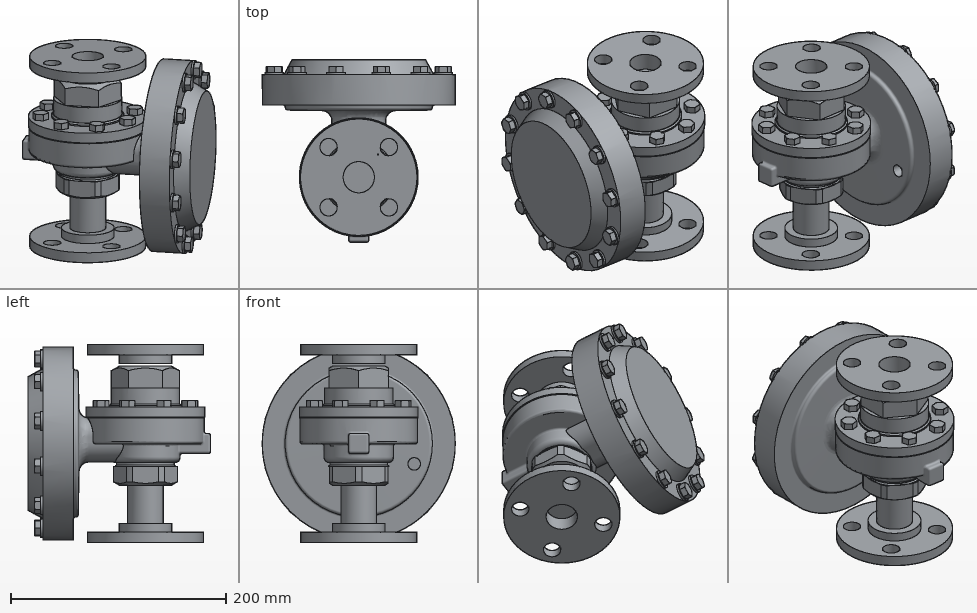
import cadquery as cq
import math


overall_width = 179.32
overall_depth = 169.51
overall_height = 184.15

flange_face_z = overall_height / 2
flange_radius = 54.0
flange_thickness = 9.75
flange_hub_radius = 24.5
flange_hub_length = 8.1
flange_bore_radius = 14.5
flange_bore_depth = 16.3
flange_hole_radius = 8.0
flange_hole_circle = 39.6
flange_hole_count = 4
flange_first_hole_angle = 45
flange_inner_z = flange_face_z - flange_thickness - flange_hub_length

upper_nut_flat_width = 55.0
upper_nut_top_z = 72.1
upper_nut_bottom_z = 51.6
upper_nut_top_radius = 24.0
nut_chamfer_slope = math.tan(math.radians(30))
collar_radius = 31.75
collar_ring_radius = 33.7
collar_ring_top_z = 36.7
collar_ring_chamfer = 1.4

bonnet_radius = 55.2
bonnet_top_z = 34.0
bonnet_bottom_z = 24.5
gasket_radius = 54.95
bowl_radius = 54.65
bowl_top_z = 23.7
bowl_bottom_z = -0.4
bowl_fillet = 2.5
bowl_root_fillet = 2.0
lower_collar_radius = 32.2
lower_collar_bottom_z = -17.7
lower_collar_fillet = 4.9

neck_radius = 26.9
neck_foot_radius = 28.3
neck_waist_z = -20.0
lower_nut_flat_width = 54.4
lower_nut_corner_radius = 29.8
lower_nut_top_z = -21.2
lower_nut_bottom_z = -38.75
lower_nut_end_radius = 24.2
pipe_radius = 16.7

bolt_flat_width = 13.0
bolt_bevel = 0.5
bonnet_bolt_count = 8
bonnet_bolt_circle = 44.5
bonnet_bolt_height = 6.0
cover_bolt_count = 12
cover_bolt_circle = 81.2
cover_bolt_height = 5.6
washer_radius = 8.7
washer_thickness = 1.9

lug_width = 18.8
lug_end_y = -60.45
lug_edge_fillet = 2.2
lug_root_fillet = 2.0
lug_root_depth = 3.0
selection_margin = 0.5

cover_radius = overall_width / 2
cover_front_y = 66.9
cover_back_y = 95.3
dome_back_y = lug_end_y + overall_depth
dome_root_radius = 69.6
dome_end_radius = 62.1
pad_radius = 68.4
pad_front_y = 62.2
pad_root_fillet = 1.9
pad_edge_fillet = 2.7
pad_crown = 1.0
drain_radius = 5.8
drain_depth = 10.0
drain_x = 51.5
drain_z = -18.9

arm_width = 50.2
arm_height = 41.0
arm_corner_radius = 17.4
arm_center_z = 3.3
arm_flare_radius = 9.0


def cylinder(radius, bottom_z, top_z):
    return cq.Workplane("XY").workplane(offset=bottom_z).circle(radius).extrude(top_z - bottom_z)


def hex_prism(flat_width, height):
    """Hexagon standing on Z = 0 with two corners on the X axis."""
    corner_diameter = flat_width / math.cos(math.radians(30))
    return cq.Workplane("XY").polygon(6, corner_diameter).extrude(height)


def chamfer_cone(end_radius, height):
    """Cone on Z = 0 that bevels the corners at the upper end of a nut."""
    base_radius = end_radius + height / nut_chamfer_slope
    return (
        cq.Workplane("XZ")
        .polyline([(0, 0), (base_radius, 0), (end_radius, height), (0, height)])
        .close()
        .revolve(360, (0, 0, 0), (0, 1, 0))
    )


def make_flange():
    """Top pipe flange with its hub pointing down and a blind bore."""
    disc = cylinder(flange_radius, flange_face_z - flange_thickness, flange_face_z)
    hub = cylinder(flange_hub_radius, flange_inner_z, flange_face_z)
    bore = cylinder(flange_bore_radius, flange_face_z - flange_bore_depth, flange_face_z)
    holes = (
        cq.Workplane("XY")
        .workplane(offset=flange_inner_z)
        .polarArray(flange_hole_circle, flange_first_hole_angle, 360, flange_hole_count)
        .circle(flange_hole_radius)
        .extrude(flange_face_z - flange_inner_z)
    )
    return disc.union(hub).cut(bore).cut(holes)


def make_upper_nut():
    height = upper_nut_top_z - upper_nut_bottom_z
    nut = hex_prism(upper_nut_flat_width, height).rotate((0, 0, 0), (0, 0, 1), 90)
    nut = nut.intersect(chamfer_cone(upper_nut_top_radius, height))
    return nut.translate((0, 0, upper_nut_bottom_z))


def make_lower_nut():
    height = lower_nut_top_z - lower_nut_bottom_z
    nut = hex_prism(lower_nut_flat_width, height).rotate((0, 0, 0), (0, 0, 1), 90)
    nut = nut.intersect(cylinder(lower_nut_corner_radius, 0, height))
    nut = nut.intersect(chamfer_cone(lower_nut_end_radius, height))
    nut = nut.rotate((0, 0, 0), (1, 0, 0), 180)
    return nut.translate((0, 0, lower_nut_top_z))


def make_lug():
    lug = cq.Workplane("XY").box(lug_width, -lug_end_y, lug_width).translate((0, lug_end_y / 2, 0))
    return lug.edges("|Y").fillet(lug_edge_fillet).faces("<Y").edges().fillet(lug_edge_fillet)


def make_bowl():
    """Bowl, lower collar and neck, turned from one profile, with the lug on the front."""
    bowl_fillet_end = (bowl_radius - bowl_fillet, bowl_bottom_z)
    root_start = (lower_collar_radius + bowl_root_fillet, bowl_bottom_z)
    root_end = (lower_collar_radius, bowl_bottom_z - bowl_root_fillet)
    collar_fillet_end = (lower_collar_radius - lower_collar_fillet, lower_collar_bottom_z)
    bowl = (
        cq.Workplane("XZ")
        .moveTo(0, bonnet_bottom_z)
        .lineTo(gasket_radius, bonnet_bottom_z)
        .lineTo(gasket_radius, bowl_top_z)
        .lineTo(bowl_radius, bowl_top_z)
        .lineTo(bowl_radius, bowl_bottom_z + bowl_fillet)
        .radiusArc(bowl_fillet_end, bowl_fillet)
        .lineTo(*root_start)
        .radiusArc(root_end, -bowl_root_fillet)
        .lineTo(lower_collar_radius, lower_collar_bottom_z + lower_collar_fillet)
        .radiusArc(collar_fillet_end, lower_collar_fillet)
        .lineTo(neck_radius, lower_collar_bottom_z)
        .lineTo(neck_radius, neck_waist_z)
        .lineTo(neck_foot_radius, lower_nut_top_z)
        .lineTo(0, lower_nut_top_z)
        .close()
        .revolve(360, (0, 0, 0), (0, 1, 0))
    )
    bowl = bowl.union(make_lug())
    half_window = lug_width / 2 + selection_margin
    root = cq.selectors.BoxSelector(
        (-half_window, -bowl_radius - selection_margin, -half_window),
        (half_window, -lower_collar_radius + lug_root_depth, half_window),
        boundingbox=True,
    )
    return bowl.edges(root).fillet(lug_root_fillet)


def make_bolt_head(height):
    """Hexagon bolt head on Z = 0 with the corners of its top bevelled."""
    corner_radius = bolt_flat_width / 2 / math.cos(math.radians(30))
    envelope = cylinder(corner_radius, 0, height).faces(">Z").edges().chamfer(bolt_bevel)
    return hex_prism(bolt_flat_width, height).intersect(envelope)


def add_bolts(part, bolt, axis, circle_radius, count):
    """Union a ring of bolts about an axis normal to X.

    The first bolt stands half a pitch from X with two corners parallel to X;
    the others are turned copies of it.
    """
    pitch = 360 / count
    first = bolt.rotate((0, 0, 0), axis, -pitch / 2)
    first = first.translate((circle_radius, 0, 0)).rotate((0, 0, 0), axis, pitch / 2)
    for index in range(count):
        part = part.union(first.rotate((0, 0, 0), axis, index * pitch))
    return part


def make_bonnet():
    bonnet = cylinder(bonnet_radius, bonnet_bottom_z, bonnet_top_z)
    ring = cylinder(collar_ring_radius, bonnet_bottom_z, collar_ring_top_z)
    ring = ring.faces(">Z").edges().chamfer(collar_ring_chamfer)
    collar = cylinder(collar_radius, bonnet_bottom_z, upper_nut_bottom_z)
    bonnet = bonnet.union(ring).union(collar)
    bolt = make_bolt_head(bonnet_bolt_height).translate((0, 0, bonnet_top_z))
    return add_bolts(bonnet, bolt, (0, 0, 1), bonnet_bolt_circle, bonnet_bolt_count)


def make_cover_bolt():
    """Bolt head and washer on the back of the cover, standing along +Y on the Y axis."""
    washer = cylinder(washer_radius, 0, washer_thickness)
    bolt = washer.union(make_bolt_head(washer_thickness + cover_bolt_height))
    return bolt.rotate((0, 0, 0), (1, 0, 0), -90).translate((0, cover_back_y, 0))


def make_actuator():
    crown_y = pad_front_y - pad_crown
    pad_round_start = (pad_radius, pad_front_y + pad_edge_fillet)
    cover = (
        cq.Workplane("XY")
        .moveTo(0, crown_y)
        .lineTo(pad_radius - pad_edge_fillet, pad_front_y)
        .radiusArc(pad_round_start, -pad_edge_fillet)
        .lineTo(pad_radius, cover_front_y - pad_root_fillet)
        .radiusArc((pad_radius + pad_root_fillet, cover_front_y), pad_root_fillet)
        .lineTo(cover_radius, cover_front_y)
        .lineTo(cover_radius, cover_back_y)
        .lineTo(dome_root_radius, cover_back_y)
        .lineTo(dome_end_radius, dome_back_y)
        .lineTo(0, dome_back_y)
        .close()
        .revolve(360, (0, 0, 0), (0, 1, 0))
    )

    arm = (
        cq.Workplane("XZ")
        .center(0, arm_center_z)
        .rect(arm_width, arm_height)
        .extrude(-cover_front_y)
        .edges("|Y")
        .fillet(arm_corner_radius)
    )
    actuator = cover.union(arm)
    root = cq.selectors.BoxSelector(
        (-arm_width, crown_y, -arm_width), (arm_width, pad_front_y, arm_width)
    )
    actuator = actuator.edges(root).fillet(arm_flare_radius)

    drain = (
        cq.Workplane("XZ")
        .center(drain_x, drain_z)
        .circle(drain_radius)
        .extrude(-pad_front_y - drain_depth)
    )
    actuator = actuator.cut(drain)

    return add_bolts(actuator, make_cover_bolt(), (0, -1, 0), cover_bolt_circle, cover_bolt_count)


def make_valve():
    pipe = cylinder(pipe_radius, -flange_inner_z, lower_nut_bottom_z)
    bottom_flange = make_flange().mirror("XY")
    valve = make_bowl().union(make_bonnet()).union(make_upper_nut())
    valve = valve.union(make_lower_nut()).union(pipe).union(bottom_flange)
    return valve.union(make_actuator())


inlet_flange = make_flange()
valve = make_valve()
result = cq.Compound.makeCompound([inlet_flange.val(), *valve.solids().vals()])